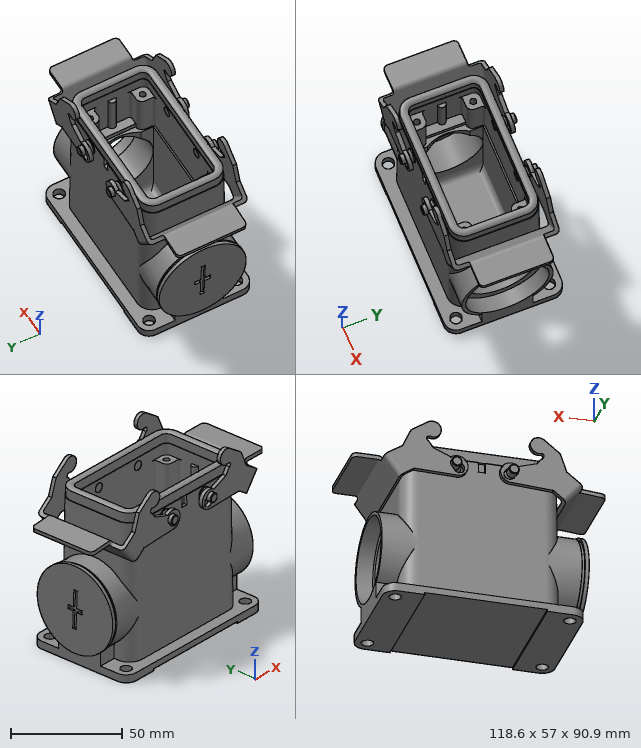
import cadquery as cq
import math

OVERALL_X = 118.6

BASE_X = 93.7
BASE_Y = 57.0
BASE_Z = 4.1
BASE_CORNER = 5.9
BASE_HOLE_D = 5.6
FOOT_GAP_X = 57.4
FOOT_GAP_Z = 1.0

BODY_X = 74.9
BODY_Y = 44.9
BODY_CORNER = 7.7
BODY_TOP = 75.3
BODY_DRAFT = 0.6
COLLAR_X = 72.8
COLLAR_Y = 42.7
COLLAR_CORNER = 7.4
COLLAR_TOP = 81.1
COLLAR_WALL = 4.0
CROWN_RISE = 0.8
KEYWAY_X = 3.3
KEYWAY_Z = 5.0
KEYWAY_DEPTH = 1.2

MOUTH_X = COLLAR_X - 2 * COLLAR_WALL
MOUTH_Y = COLLAR_Y - 2 * COLLAR_WALL
MOUTH_CORNER = COLLAR_CORNER - COLLAR_WALL
CAVITY_STEP = 0.2
CAVITY_X = MOUTH_X + 2 * CAVITY_STEP
CAVITY_Y = MOUTH_Y + 2 * CAVITY_STEP
LEDGE_Z = 48.0
WELL_X = 48.4
WELL_Y = 33.4
WELL_ROUND = 3.1
WELL_FLOOR = BASE_Z
SCALLOP_Y = 20.6
SCALLOP_DEPTH = 2.8

POST_TOP = 69.1
POST_INNER_X = 24.8
POST_INNER_Y = 9.7
POST_ROUND = 3.1
POST_ROOT = 1.4
SCREW_HOLE_D = 3.0
SCREW_HOLE_DEPTH = 11.9
SCREW_X = 28.6
SCREW_Y = 13.6
SHELF_INNER_X = 28.0
SHELF_Z = 50.4
ROD_D = 4.0
ROD_TOP = 69.6

PORT_Z = 30.0
PORT_SIZE_Y = 44.3
PORT_SIZE_Z = 43.6
PORT_FOOT_Y = 24.9
SEAT_D = 40.5
SEAT_DEPTH = 7.7
CABLE_OPENING_D = 33.2
PLUG_NECK_D = 43.0
PLUG_NECK_X = 1.3
FLANGE_D = 45.0
FLANGE_X = 1.9
CROSS_LONG = 20.0
CROSS_SHORT = 8.1
CROSS_WIDTH = 2.0
CROSS_DEPTH = 1.2
CROSS_TILT = 2.0

PIN_X = 13.4
PIN_Z = 71.0
PIN_D = 4.7
PIN_TIP_D = 4.0
PIN_END_Y = 28.0
PIN_STUB = 0.1
PIN_BOSS_D = 7.0
PIN_BOSS_ROOT = 1.2
PIN_BOSS_Y = 22.3
PIN_CONE_Y = 23.5

LEFT_LEVER_TURN = 5.0
SHEET = 2.0
LEVER_Y = 51.6
LEVER_BEND = 2.4
LEVER_INNER_BEND = 1.4
SLOT_WIDTH = 5.0
SLOT_END = (-1.5, -2.1)
EYE_R = 5.0
ARM_BOTTOM_START = (2.3, -5.9)
ARM_BOTTOM_END = (19.5, -5.5)
ARM_TOP_START = (1.7, 2.6)
ARM_TOP_END = (10.4, 6.3)
HOOK_CENTRE = (10.8, 15.9)
HOOK_R = 4.0
HOOK_TIP = (12.2, 12.1)
THROAT_MIDDLE = (13.5, 11.4)
THROAT_END = (12.9, 9.8)
BACK_SHOULDER = (21.0, 14.0)
BACK_ELBOW = (24.8, 5.5)
STRIP_ANGLE = 54.0
STRIP_TOP = (31.5, 1.1)
STRIP_BOTTOM = (24.4, -8.8)
TAB_TOP = 2.8
TAB_Y = 36.0
TAB_CORNER = 2.4
TAB_OUTER_BEND = 2.5
TAB_INNER_BEND = 0.7
TAB_ROOT = 1.4

TURN = math.radians(LEFT_LEVER_TURN)
TAB_END = (OVERALL_X - 2 * PIN_X - TAB_TOP * math.sin(TURN)) / (1 + math.cos(TURN))

ALONG = (math.cos(math.radians(STRIP_ANGLE)), math.sin(math.radians(STRIP_ANGLE)))
OUTWARD = (ALONG[1], -ALONG[0])


def upright_block(size_x, size_y, bottom, top, corner):
    """Block centred on the Z axis with rounded vertical edges."""
    block = cq.Workplane("XY", origin=(0, 0, bottom)).rect(size_x, size_y).extrude(top - bottom)
    return block.edges("|Z").fillet(corner)


def cylinder_x(diameter, start, length):
    """Cylinder along +X on the axis of the side ports."""
    return cq.Workplane("YZ", origin=(start, 0, PORT_Z)).circle(diameter / 2).extrude(length)


def cylinder_z(diameter, x, y, bottom, top):
    """Upright cylinder between two heights."""
    return cq.Workplane("XY", origin=(x, y, bottom)).circle(diameter / 2).extrude(top - bottom)


def make_base():
    """Base plate with four screw holes and a shallow gap between its feet."""
    base = upright_block(BASE_X, BASE_Y, 0, BASE_Z, BASE_CORNER)
    gap = cq.Workplane("XY").box(FOOT_GAP_X, BASE_Y, 2 * FOOT_GAP_Z)
    hole_x = BASE_X - 2 * BASE_CORNER
    hole_y = BASE_Y - 2 * BASE_CORNER
    holes = cq.Workplane("XY").rect(hole_x, hole_y, forConstruction=True).vertices()
    return base.cut(gap).cut(holes.circle(BASE_HOLE_D / 2).extrude(BASE_Z))


def make_outer_walls():
    """Drafted body with the collar on top, both still solid."""
    body = (
        cq.Workplane("XY", origin=(0, 0, BASE_Z))
        .rect(BODY_X, BODY_Y)
        .extrude(BODY_TOP - BASE_Z, taper=BODY_DRAFT)
        .edges("not #Z")
        .fillet(BODY_CORNER)
    )
    return body.union(make_collar())


def make_collar():
    """Solid collar whose rim, one wall thick, has a crowned top."""
    shoulder = COLLAR_TOP - CROWN_RISE
    block = upright_block(COLLAR_X, COLLAR_Y, LEDGE_Z, shoulder, COLLAR_CORNER)
    rim_middle = upright_block(
        COLLAR_X - COLLAR_WALL,
        COLLAR_Y - COLLAR_WALL,
        LEDGE_Z,
        shoulder,
        COLLAR_CORNER - COLLAR_WALL / 2,
    )
    rim_path = rim_middle.faces(">Z").wires()
    crown = (
        cq.Workplane("XZ")
        .moveTo(MOUTH_X / 2, shoulder)
        .threePointArc(((MOUTH_X + COLLAR_WALL) / 2, COLLAR_TOP), (COLLAR_X / 2, shoulder))
        .close()
        .sweep(rim_path)
    )
    return block.union(crown)


def make_ports():
    """Oval side ports, each standing on a narrow foot."""
    ports = (
        cq.Workplane("YZ", origin=(-BASE_X / 2, 0, PORT_Z))
        .ellipse(PORT_SIZE_Y / 2, PORT_SIZE_Z / 2)
        .extrude(BASE_X)
    )
    foot = (
        cq.Workplane("XY", origin=(0, 0, FOOT_GAP_Z))
        .rect(BASE_X, PORT_FOOT_Y)
        .extrude(PORT_Z - FOOT_GAP_Z)
    )
    return ports.union(foot)


def make_cavity():
    """Cutter for the mouth, the upper cavity and the deep well with its end scallops."""
    mouth = upright_block(MOUTH_X, MOUTH_Y, BODY_TOP, COLLAR_TOP, MOUTH_CORNER)
    upper = upright_block(CAVITY_X, CAVITY_Y, LEDGE_Z, BODY_TOP, MOUTH_CORNER)
    well_height = LEDGE_Z - WELL_FLOOR
    well = cq.Workplane("XY", origin=(0, 0, WELL_FLOOR)).rect(WELL_X, WELL_Y).extrude(well_height)
    well = well.faces("<Z").edges().fillet(WELL_ROUND)
    scallops = (
        cq.Workplane("XY", origin=(0, 0, PORT_Z))
        .moveTo(WELL_X / 2, -SCALLOP_Y / 2)
        .threePointArc((WELL_X / 2 + SCALLOP_DEPTH, 0), (WELL_X / 2, SCALLOP_Y / 2))
        .lineTo(-WELL_X / 2, SCALLOP_Y / 2)
        .threePointArc((-WELL_X / 2 - SCALLOP_DEPTH, 0), (-WELL_X / 2, -SCALLOP_Y / 2))
        .close()
        .extrude(LEDGE_Z - PORT_Z)
    )
    return mouth.union(upper).union(well).union(scallops)


def make_port_bores():
    """Cutter for the cable openings and the wider plug seats at the port ends."""
    seat_start = BASE_X / 2 - SEAT_DEPTH
    bores = cylinder_x(CABLE_OPENING_D, -BASE_X / 2, BASE_X)
    bores = bores.cut(cq.Workplane("XY").box(WELL_X, BASE_Y, 2 * COLLAR_TOP))
    for start in (-BASE_X / 2, seat_start):
        bores = bores.union(cylinder_x(SEAT_D, start, SEAT_DEPTH))
    return bores


def make_post():
    """Screw post in the +X +Y corner, flowing into both walls with concave rounds."""
    diagonal = math.sqrt(0.5)
    wall_x = CAVITY_X / 2
    wall_y = CAVITY_Y / 2
    root_inset = POST_ROOT * (1 - diagonal)
    round_inset = POST_ROUND * (1 - diagonal)
    post = (
        cq.Workplane("XY", origin=(0, 0, LEDGE_Z))
        .moveTo(POST_INNER_X - POST_ROOT, wall_y)
        .threePointArc(
            (POST_INNER_X - root_inset, wall_y - root_inset),
            (POST_INNER_X, wall_y - POST_ROOT),
        )
        .lineTo(POST_INNER_X, POST_INNER_Y + POST_ROUND)
        .threePointArc(
            (POST_INNER_X + round_inset, POST_INNER_Y + round_inset),
            (POST_INNER_X + POST_ROUND, POST_INNER_Y),
        )
        .lineTo(wall_x - POST_ROOT, POST_INNER_Y)
        .threePointArc(
            (wall_x - root_inset, POST_INNER_Y - root_inset),
            (wall_x, POST_INNER_Y - POST_ROOT),
        )
        .lineTo(wall_x, wall_y)
        .close()
        .extrude(POST_TOP - LEDGE_Z)
    )
    post = post.intersect(upright_block(CAVITY_X, CAVITY_Y, LEDGE_Z, POST_TOP, MOUTH_CORNER))
    return post.cut(cylinder_z(SCREW_HOLE_D, SCREW_X, SCREW_Y, POST_TOP - SCREW_HOLE_DEPTH, POST_TOP))


def make_cavity_fittings():
    """Screw posts in the four corners, with a shelf and a half-round rod at each end."""
    shelf_x = CAVITY_X / 2 - SHELF_INNER_X
    shelf = (
        cq.Workplane("XY", origin=(SHELF_INNER_X + shelf_x / 2, 0, LEDGE_Z))
        .rect(shelf_x, 2 * POST_INNER_Y)
        .extrude(SHELF_Z - LEDGE_Z)
    )
    rod = cylinder_z(ROD_D, CAVITY_X / 2, 0, LEDGE_Z, ROD_TOP)
    post = make_post()
    end = shelf.union(rod).union(post).union(post.mirror("XZ"))
    return end.union(end.mirror("YZ"))


def make_pivot(x, side_y):
    """Pin with a tapered boss, reaching from just inside the cavity outwards."""
    start = CAVITY_Y / 2 - PIN_STUB
    boss_start = CAVITY_Y / 2 + PIN_BOSS_ROOT
    tip = (PIN_D - PIN_TIP_D) / 2
    pivot = (
        cq.Workplane("XY")
        .moveTo(0, start)
        .lineTo(PIN_D / 2, start)
        .lineTo(PIN_D / 2, boss_start)
        .lineTo(PIN_BOSS_D / 2, boss_start)
        .lineTo(PIN_BOSS_D / 2, PIN_BOSS_Y)
        .lineTo(PIN_D / 2, PIN_CONE_Y)
        .lineTo(PIN_D / 2, PIN_END_Y - tip)
        .lineTo(PIN_TIP_D / 2, PIN_END_Y)
        .lineTo(0, PIN_END_Y)
        .close()
        .revolve(360, (0, 0, 0), (0, 1, 0))
    )
    if side_y < 0:
        pivot = pivot.mirror("XZ")
    return pivot.translate((x, 0, PIN_Z))


def make_housing():
    """Hollow housing with its base, ports, keyways and pivot pins."""
    housing = make_outer_walls().union(make_ports()).union(make_base())
    housing = housing.cut(make_cavity()).cut(make_port_bores())
    housing = housing.union(make_cavity_fittings())
    for side_y in (-1, 1):
        keyway = cq.Workplane("XY").box(KEYWAY_X, 2 * KEYWAY_DEPTH, KEYWAY_Z)
        keyway = keyway.translate((0, side_y * COLLAR_Y / 2, BODY_TOP - KEYWAY_Z / 2))
        housing = housing.cut(keyway)
        for side_x in (-1, 1):
            housing = housing.union(make_pivot(side_x * PIN_X, side_y))
    return housing


def make_plug():
    """Blind plug closing the -X port, with a cross slot in its flange."""
    port_end = -BASE_X / 2
    flange_start = port_end - PLUG_NECK_X - FLANGE_X
    plug = cylinder_x(FLANGE_D, flange_start, FLANGE_X)
    plug = plug.union(cylinder_x(PLUG_NECK_D, port_end - PLUG_NECK_X, PLUG_NECK_X))
    plug = plug.union(cylinder_x(SEAT_D, port_end, SEAT_DEPTH))
    cross = cq.Workplane("XY").box(2 * CROSS_DEPTH, CROSS_WIDTH, CROSS_LONG)
    cross = cross.union(cq.Workplane("XY").box(2 * CROSS_DEPTH, CROSS_SHORT, CROSS_WIDTH))
    cross = cross.rotate((0, 0, 0), (1, 0, 0), CROSS_TILT).translate((flange_start, 0, PORT_Z))
    return plug.cut(cross)


def lever_plane(half_width):
    """XZ plane at Y = half_width, through the pivot axis; extrusions run towards -Y."""
    return cq.Workplane("XZ", origin=(0, half_width, 0))


def through_sheet(point):
    """Point on the outer face of the cross strip opposite one on its inner face."""
    return (point[0] + SHEET * OUTWARD[0], point[1] + SHEET * OUTWARD[1])


def on_strip(point, height):
    """Point at the given height on the line along the cross strip through `point`."""
    return (point[0] + (height - point[1]) * ALONG[0] / ALONG[1], height)


def hook_tangent_point():
    """Where the straight back of the hook meets its round end."""
    run_x = BACK_SHOULDER[0] - HOOK_CENTRE[0]
    run_z = BACK_SHOULDER[1] - HOOK_CENTRE[1]
    angle = math.atan2(run_z, run_x) + math.acos(HOOK_R / math.hypot(run_x, run_z))
    return (HOOK_CENTRE[0] + HOOK_R * math.cos(angle), HOOK_CENTRE[1] + HOOK_R * math.sin(angle))


def make_lever_side():
    """Side outline of the lever, extruded over its full width."""
    eye = (SLOT_END[0] / 2, SLOT_END[1] / 2)
    arm = (
        lever_plane(LEVER_Y / 2)
        .moveTo(eye[0], eye[1] - EYE_R)
        .lineTo(*ARM_BOTTOM_START)
        .lineTo(*ARM_BOTTOM_END)
        .lineTo(*STRIP_BOTTOM)
        .lineTo(*through_sheet(STRIP_BOTTOM))
        .lineTo(*through_sheet(STRIP_TOP))
        .lineTo(*STRIP_TOP)
        .lineTo(*BACK_ELBOW)
        .lineTo(*BACK_SHOULDER)
        .lineTo(*hook_tangent_point())
        .threePointArc((HOOK_CENTRE[0] - HOOK_R, HOOK_CENTRE[1]), HOOK_TIP)
        .threePointArc(THROAT_MIDDLE, THROAT_END)
        .lineTo(*ARM_TOP_END)
        .lineTo(*ARM_TOP_START)
        .lineTo(*eye)
        .close()
        .extrude(LEVER_Y)
    )
    return arm.union(lever_plane(LEVER_Y / 2).center(*eye).circle(EYE_R).extrude(LEVER_Y))


def make_channel():
    """Long bent-sheet channel: two arms joined by the cross strip."""
    outer_top = through_sheet(STRIP_TOP)
    plane = cq.Plane(
        origin=(outer_top[0], 0, outer_top[1]),
        xDir=(-OUTWARD[0], 0, -OUTWARD[1]),
        normal=(ALONG[0], 0, ALONG[1]),
    )
    bends = cq.selectors.ParallelDirSelector(cq.Vector(ALONG[0], 0, ALONG[1]))

    def bar(start, width, corner):
        block = cq.Workplane(plane).center(start + TAB_END, 0).rect(2 * TAB_END, width)
        return block.extrude(TAB_END, both=True).edges(bends).fillet(corner)

    return bar(0, LEVER_Y, LEVER_BEND).cut(bar(SHEET, LEVER_Y - 2 * SHEET, LEVER_INNER_BEND))


def make_tab():
    """Finger tab bent outwards from the top of the cross strip."""
    outer_top = through_sheet(STRIP_TOP)
    bend_top = on_strip(STRIP_TOP, TAB_TOP)
    bend_under = on_strip(outer_top, TAB_TOP - SHEET)
    tab = (
        lever_plane(TAB_Y / 2)
        .polyline([
            on_strip(STRIP_TOP, STRIP_TOP[1] - SHEET),
            bend_top,
            (TAB_END, TAB_TOP),
            (TAB_END, TAB_TOP - SHEET),
            bend_under,
            on_strip(outer_top, outer_top[1] - SHEET),
        ])
        .close()
        .extrude(TAB_Y)
    )
    tab = tab.faces(">X").edges("|Z").fillet(TAB_CORNER)
    for bend, radius in ((bend_top, TAB_OUTER_BEND), (bend_under, TAB_INNER_BEND)):
        tab = tab.edges(cq.NearestToPointSelector((bend[0], 0, bend[1]))).fillet(radius)
    return tab


def make_lever_slot():
    """Cutter for the slots in which the pivot pins run."""
    slot_length = math.hypot(*SLOT_END)
    slot_angle = math.degrees(math.atan2(SLOT_END[1], SLOT_END[0]))
    return (
        lever_plane(LEVER_Y / 2)
        .center(SLOT_END[0] / 2, SLOT_END[1] / 2)
        .slot2D(slot_length + SLOT_WIDTH, SLOT_WIDTH, slot_angle)
        .extrude(LEVER_Y)
    )


def make_lever():
    """Bent sheet lever in its +X pose, with the pivot axis through the origin."""
    lever = make_lever_side().intersect(make_channel()).union(make_tab())
    outer_top = through_sheet(STRIP_TOP)
    root_x = (STRIP_TOP[0] + outer_top[0]) / 2
    root_z = (STRIP_TOP[1] + outer_top[1]) / 2
    for side_y in (-1, 1):
        root = cq.NearestToPointSelector((root_x, side_y * TAB_Y / 2, root_z))
        lever = lever.edges(root).fillet(TAB_ROOT)
    return lever.cut(make_lever_slot())


housing = make_housing()
plug = make_plug()
levers = []
for side_x, turn in ((-1, LEFT_LEVER_TURN), (1, 0)):
    lever = make_lever().rotate((0, 0, 0), (0, 1, 0), turn)
    if side_x < 0:
        lever = lever.mirror("YZ")
    levers.append(lever.translate((side_x * PIN_X, 0, PIN_Z)))

result = cq.Compound.makeCompound([housing.val(), plug.val(), *[lever.val() for lever in levers]])